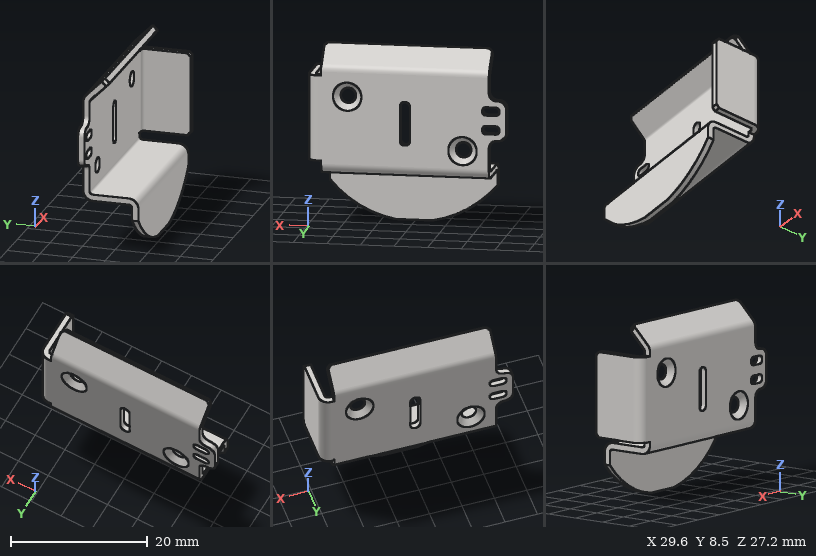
import cadquery as cq
import math

THICKNESS = 1.0
INNER_RADIUS = 0.5
OUTER_RADIUS = INNER_RADIUS + THICKNESS
DEPTH = 8.5
CORNER_CHAMFER = 0.5

WIDTH = 24.98
HALF_WIDTH = WIDTH / 2
UPPER_BEND_Z = 7.35
LOWER_BEND_Z = -6.48

LIP_ANGLE = 45
TOP_Z = 11.15

APRON_RADIUS = 16.25
BOTTOM_Z = -16.0

FLANGE_REACH = 2.0
FLANGE_TOP_Z = 6.78
FLANGE_HEIGHT = 12.8

TAB_REACH = 2.6
TAB_HEIGHT = 5.98
TAB_CENTRE_Z = 0.92
TAB_RADIUS = 1.2
TAB_SLOT_LENGTH = 2.58
TAB_SLOT_WIDTH = 1.25
TAB_SLOT_SPACING = 2.8
TAB_SLOT_X = -12.8

HOLE_DIAMETER = 2.22
COUNTERSINK_ANGLE = 90
HOLE_X = 8.58
HOLE_Z = 3.75
SLOT_LENGTH = 6.5
SLOT_WIDTH = 1.5


def front_plane():
    """Plane on the back face: local x is X, local y is Z, extrusion goes toward -Y."""
    return cq.Workplane("XZ")


def bent_strip():
    """Lip, plate, shelf and apron as one constant section across the width."""
    lip = math.radians(LIP_ANGLE)

    def lip_bend_point(radius, angle):
        return (-OUTER_RADIUS + radius * math.cos(angle), UPPER_BEND_Z + radius * math.sin(angle))

    outer_start = lip_bend_point(OUTER_RADIUS, lip)
    inner_start = lip_bend_point(INNER_RADIUS, lip)
    rise = TOP_Z - outer_start[1]
    run = rise * math.tan(lip)
    shelf_bottom = LOWER_BEND_Z - OUTER_RADIUS
    shelf_top = shelf_bottom + THICKNESS
    apron_bend_z = shelf_top - OUTER_RADIUS
    apron_bend_y = -DEPTH + OUTER_RADIUS
    half_turn = math.sqrt(0.5)
    outer_mid = OUTER_RADIUS * half_turn
    inner_mid = INNER_RADIUS * half_turn

    section = (
        cq.Workplane("YZ", origin=(-HALF_WIDTH, 0, 0))
        .moveTo(0, LOWER_BEND_Z)
        .lineTo(0, UPPER_BEND_Z)
        .threePointArc(lip_bend_point(OUTER_RADIUS, lip / 2), outer_start)
        .lineTo(outer_start[0] - run, TOP_Z)
        .lineTo(inner_start[0] - run, inner_start[1] + rise)
        .lineTo(*inner_start)
        .threePointArc(lip_bend_point(INNER_RADIUS, lip / 2), (-THICKNESS, UPPER_BEND_Z))
        .lineTo(-THICKNESS, LOWER_BEND_Z)
        .threePointArc(
            (-OUTER_RADIUS + inner_mid, LOWER_BEND_Z - inner_mid),
            (-OUTER_RADIUS, shelf_top),
        )
        .lineTo(apron_bend_y, shelf_top)
        .threePointArc(
            (apron_bend_y - outer_mid, apron_bend_z + outer_mid),
            (-DEPTH, apron_bend_z),
        )
        .lineTo(-DEPTH, BOTTOM_Z)
        .lineTo(-DEPTH + THICKNESS, BOTTOM_Z)
        .lineTo(-DEPTH + THICKNESS, apron_bend_z)
        .threePointArc(
            (apron_bend_y - inner_mid, apron_bend_z + inner_mid),
            (apron_bend_y, shelf_bottom),
        )
        .lineTo(-OUTER_RADIUS, shelf_bottom)
        .threePointArc((-OUTER_RADIUS + outer_mid, LOWER_BEND_Z - outer_mid), (0, LOWER_BEND_Z))
        .close()
    )
    strip = section.extrude(WIDTH)

    lip_middle = ((outer_start[0] + inner_start[0]) / 2 - run, (TOP_Z + inner_start[1] + rise) / 2)
    for x in (-HALF_WIDTH, HALF_WIDTH):
        corner = cq.selectors.NearestToPointSelector((x, *lip_middle))
        strip = strip.edges(corner).chamfer(CORNER_CHAMFER)
    return strip


def apron_outline():
    """Full-depth silhouette whose lower end is the round apron."""
    arc_end_z = -math.sqrt(APRON_RADIUS**2 - HALF_WIDTH**2)
    flat_half = math.sqrt(APRON_RADIUS**2 - BOTTOM_Z**2)
    mid_angle = (math.atan2(HALF_WIDTH, -arc_end_z) + math.atan2(flat_half, -BOTTOM_Z)) / 2
    middle = (APRON_RADIUS * math.sin(mid_angle), -APRON_RADIUS * math.cos(mid_angle))
    return (
        front_plane()
        .moveTo(-HALF_WIDTH, TOP_Z)
        .lineTo(HALF_WIDTH, TOP_Z)
        .lineTo(HALF_WIDTH, arc_end_z)
        .threePointArc(middle, (flat_half, BOTTOM_Z))
        .lineTo(-flat_half, BOTTOM_Z)
        .threePointArc((-middle[0], middle[1]), (-HALF_WIDTH, arc_end_z))
        .close()
        .extrude(DEPTH)
    )


def side_flange():
    """Flange bent forward from the right edge, with chamfered front corners."""
    outer_x = HALF_WIDTH + FLANGE_REACH
    leg_length = FLANGE_REACH + THICKNESS
    bottom_z = FLANGE_TOP_Z - FLANGE_HEIGHT
    outer = (
        cq.Workplane("XY", origin=(0, 0, bottom_z))
        .moveTo(outer_x - leg_length, 0)
        .lineTo(outer_x, 0)
        .lineTo(outer_x, -DEPTH)
        .lineTo(outer_x - THICKNESS, -DEPTH)
        .lineTo(outer_x - THICKNESS, -THICKNESS)
        .lineTo(outer_x - leg_length, -THICKNESS)
        .close()
        .extrude(FLANGE_HEIGHT)
    )
    inner_corner = cq.selectors.NearestToPointSelector(
        (outer_x - THICKNESS, -THICKNESS, bottom_z + FLANGE_HEIGHT / 2)
    )
    return (
        outer.faces(">X").edges(">Y").fillet(OUTER_RADIUS)
        .edges(inner_corner).fillet(INNER_RADIUS)
        .faces("<Y").edges("|X").chamfer(CORNER_CHAMFER)
    )


def side_tab():
    """Tab on the left edge with rounded corners and concave root fillets."""
    half_height = TAB_HEIGHT / 2
    root_half = half_height + TAB_RADIUS
    blank_width = TAB_REACH + TAB_RADIUS
    tab = (
        front_plane()
        .center(-HALF_WIDTH - TAB_REACH + blank_width / 2, TAB_CENTRE_Z)
        .rect(blank_width, TAB_HEIGHT)
        .extrude(THICKNESS)
        .edges("|Y and <X")
        .fillet(TAB_RADIUS)
    )
    root = (
        front_plane()
        .center(-HALF_WIDTH - TAB_RADIUS / 2, TAB_CENTRE_Z)
        .rect(TAB_RADIUS, 2 * root_half)
        .extrude(THICKNESS)
    )
    root_relief = (
        front_plane()
        .pushPoints(
            [(-HALF_WIDTH - TAB_RADIUS, TAB_CENTRE_Z + side * root_half) for side in (-1, 1)]
        )
        .circle(TAB_RADIUS)
        .extrude(THICKNESS)
    )
    return tab.union(root.cut(root_relief))


def plate_openings():
    """Two holes countersunk from the back and an upright slot in the plate, two level slots in the tab."""
    back_radius = HOLE_DIAMETER / 2 + THICKNESS * math.tan(math.radians(COUNTERSINK_ANGLE / 2))
    holes = (
        front_plane()
        .pushPoints([(HOLE_X, HOLE_Z), (-HOLE_X, -HOLE_Z)])
        .circle(back_radius)
        .extrude(THICKNESS, taper=COUNTERSINK_ANGLE / 2)
    )
    slot = front_plane().slot2D(SLOT_LENGTH, SLOT_WIDTH, 90).extrude(THICKNESS)
    tab_slots = (
        front_plane()
        .center(TAB_SLOT_X, TAB_CENTRE_Z)
        .rarray(0.3, TAB_SLOT_SPACING, 1, 2)
        .slot2D(TAB_SLOT_LENGTH, TAB_SLOT_WIDTH)
        .extrude(THICKNESS)
    )
    return holes.union(slot).union(tab_slots)


body = bent_strip().intersect(apron_outline())
result = body.union(side_flange()).union(side_tab()).cut(plate_openings())